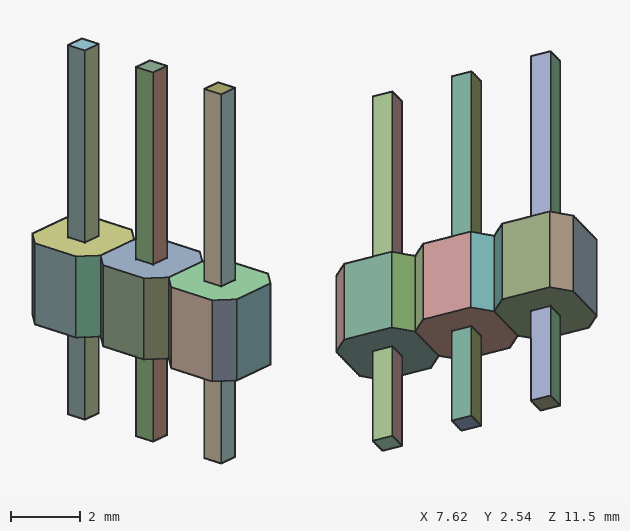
import cadquery as cq

pin_count = 3
pitch = 2.54
corner_chamfer = 0.51
pin_width = 0.63
pin_length = 11.54
tail_length = 3.0

pin_positions = [(i - (pin_count - 1) / 2) * pitch for i in range(pin_count)]


def make_pin(x):
    """Square pin running through one housing."""
    return (
        cq.Workplane("XY", origin=(x, 0, -tail_length))
        .rect(pin_width, pin_width)
        .extrude(pin_length)
    )


def make_housing(x):
    """Cube with chamfered vertical edges and a square through hole for its pin."""
    block = (
        cq.Workplane("XY", origin=(x, 0, 0))
        .rect(pitch, pitch)
        .extrude(pitch)
        .edges("|Z")
        .chamfer(corner_chamfer)
    )
    return block.cut(make_pin(x))


housings = [make_housing(x) for x in pin_positions]
pins = [make_pin(x) for x in pin_positions]

result = cq.Compound.makeCompound([body.solids().val() for body in housings + pins])